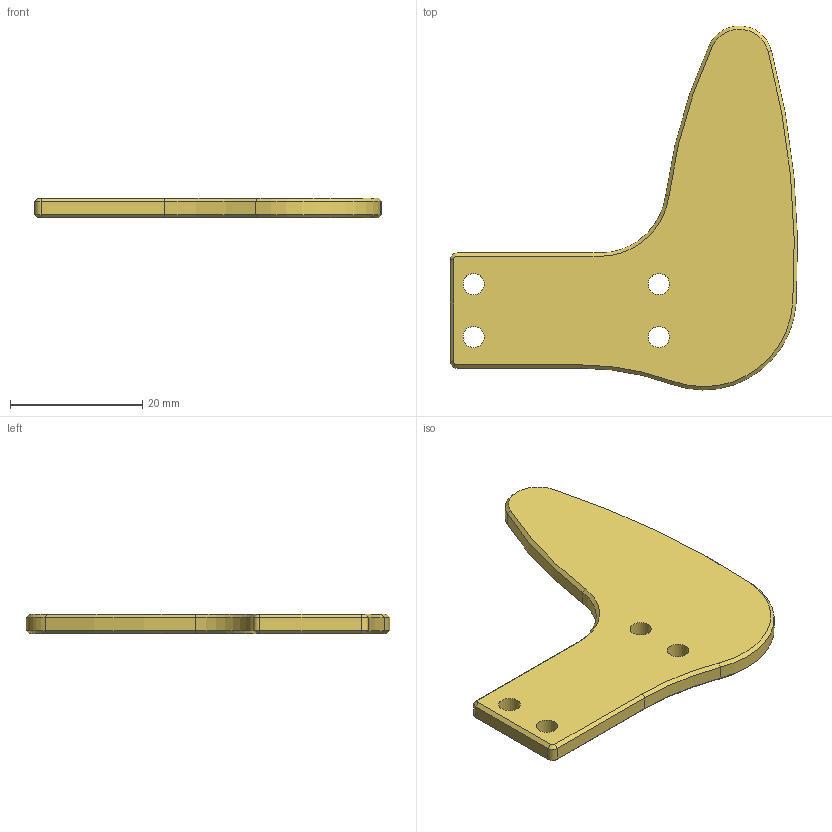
import cadquery as cq
import math

thickness = 3.0
edge_chamfer = 0.5

arm_half_width = 8.7
arm_corner_radius = 1.0

hole_diameter = 3.2
first_hole_x = 3.5
hole_spacing_x = 28.0
hole_spacing_y = 8.0

heel_radius = 14.0
heel_center = (38.25, 2.0)
tip_radius = 5.0
tip_center = (43.65, 38.0)

inner_corner_radius = 10.0
inner_corner_x = 22.6
underside_radius = 40.0
blade_front_radius = 80.0
blade_back_radius = 120.0


def tangent_center(first, first_distance, second, second_distance):
    """Point at the given distances from two points, on the right of the line from first to second."""
    dx = second[0] - first[0]
    dy = second[1] - first[1]
    span = math.hypot(dx, dy)
    along = (first_distance**2 - second_distance**2 + span**2) / (2 * span)
    across = math.sqrt(first_distance**2 - along**2)
    return (
        first[0] + (along * dx + across * dy) / span,
        first[1] + (along * dy - across * dx) / span,
    )


def point_on_circle(center, radius, toward):
    """Point of a circle in the direction of another point; a negative radius gives the opposite side."""
    reach = radius / math.dist(center, toward)
    return (
        center[0] + reach * (toward[0] - center[0]),
        center[1] + reach * (toward[1] - center[1]),
    )


def arc_middle(center, radius, start, end):
    """Middle of the shorter arc between two points of a circle."""
    chord_middle = ((start[0] + end[0]) / 2, (start[1] + end[1]) / 2)
    return point_on_circle(center, radius, chord_middle)


def make_outline():
    underside_y = -arm_half_width - underside_radius
    underside_reach = underside_radius + heel_radius
    underside_x = heel_center[0] - math.sqrt(underside_reach**2 - (heel_center[1] - underside_y) ** 2)
    underside_center = (underside_x, underside_y)
    inner_center = (inner_corner_x, arm_half_width + inner_corner_radius)
    back_center = tangent_center(
        tip_center, blade_back_radius - tip_radius, heel_center, blade_back_radius - heel_radius
    )
    front_center = tangent_center(
        inner_center, blade_front_radius + inner_corner_radius, tip_center, blade_front_radius - tip_radius
    )

    arm_to_underside = (underside_x, -arm_half_width)
    underside_to_heel = point_on_circle(underside_center, underside_radius, heel_center)
    heel_to_back = point_on_circle(heel_center, -heel_radius, back_center)
    back_to_tip = point_on_circle(tip_center, -tip_radius, back_center)
    tip_to_front = point_on_circle(tip_center, -tip_radius, front_center)
    front_to_inner = point_on_circle(inner_center, inner_corner_radius, front_center)
    inner_to_arm = (inner_corner_x, arm_half_width)

    arcs = [
        (underside_center, underside_radius, arm_to_underside, underside_to_heel),
        (heel_center, heel_radius, underside_to_heel, heel_to_back),
        (back_center, blade_back_radius, heel_to_back, back_to_tip),
        (tip_center, tip_radius, back_to_tip, tip_to_front),
        (front_center, blade_front_radius, tip_to_front, front_to_inner),
        (inner_center, inner_corner_radius, front_to_inner, inner_to_arm),
    ]
    outline = cq.Workplane("XY").moveTo(0, -arm_half_width).lineTo(*arm_to_underside)
    for center, radius, start, end in arcs:
        outline = outline.threePointArc(arc_middle(center, radius, start, end), end)
    return outline.lineTo(0, arm_half_width).close()


def make_plate():
    plate = make_outline().extrude(thickness)
    plate = plate.edges("|Z and <X").fillet(arm_corner_radius)
    return plate.faces("<Z or >Z").edges().chamfer(edge_chamfer)


def make_holes():
    center_x = first_hole_x + hole_spacing_x / 2
    return (
        cq.Workplane("XY")
        .center(center_x, 0)
        .rarray(hole_spacing_x, hole_spacing_y, 2, 2)
        .circle(hole_diameter / 2)
        .extrude(thickness)
    )


result = make_plate().cut(make_holes())